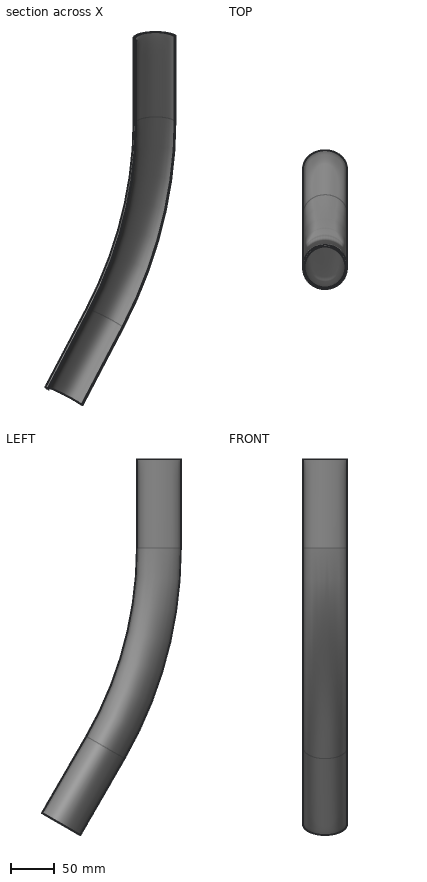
import cadquery as cq
import math

outer_diameter = 50.8
inner_diameter = 46.58
straight_length = 101.6
bend_radius = 457.2
bend_angle = 30.0


def bend_point(angle_degrees):
    """Centreline point (y, z) on the bend, which starts at the origin and runs down."""
    angle = math.radians(angle_degrees)
    y = bend_radius * (1 - math.cos(angle))
    z = -bend_radius * math.sin(angle)
    return y, z


def make_centreline():
    """Path in the YZ plane from the top end of the tube to the lower end."""
    bend_end_y, bend_end_z = bend_point(bend_angle)
    slope = math.radians(bend_angle)
    lower_end = (
        bend_end_y + straight_length * math.sin(slope),
        bend_end_z - straight_length * math.cos(slope),
    )
    return (
        cq.Workplane("YZ")
        .moveTo(0, straight_length)
        .lineTo(0, 0)
        .threePointArc(bend_point(bend_angle / 2), (bend_end_y, bend_end_z))
        .lineTo(*lower_end)
    )


def make_tube():
    """Sweep the ring-shaped tube section along the centreline."""
    section = (
        cq.Workplane("XY", origin=(0, 0, straight_length))
        .circle(outer_diameter / 2)
        .circle(inner_diameter / 2)
    )
    return section.sweep(make_centreline())


result = make_tube()